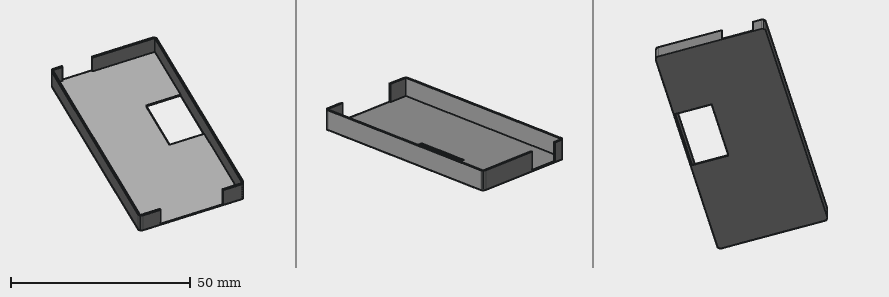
import cadquery as cq

LENGTH = 62.0
WIDTH = 32.0
HEIGHT = 6.0

WALL = 0.5
FLOOR = 0.5
CORNER_RADIUS = 1.0

WINDOW_LEFT = -12.5
WINDOW_RIGHT = 4.0
WINDOW_FRONT = 5.0

LEFT_OPENING_FRONT = -12.5
LEFT_OPENING_BACK = -3.5
RIGHT_OPENING_HALF_WIDTH = 9.5

INNER_X = LENGTH / 2 - WALL
INNER_Y = WIDTH / 2 - WALL


def block(x_range, y_range, z_range):
    """Box spanning the given (low, high) ranges."""
    lows, highs = zip(x_range, y_range, z_range)
    sizes = [high - low for low, high in zip(lows, highs)]
    return cq.Workplane("XY").box(*sizes, centered=False).translate(lows)


def tray():
    """Open-topped shell with rounded outer and square inner corners."""
    body = block((-LENGTH / 2, LENGTH / 2), (-WIDTH / 2, WIDTH / 2), (0, HEIGHT))
    body = body.edges("|Z").fillet(CORNER_RADIUS)
    cavity = block((-INNER_X, INNER_X), (-INNER_Y, INNER_Y), (FLOOR, HEIGHT))
    return body.cut(cavity)


def floor_window():
    return block((WINDOW_LEFT, WINDOW_RIGHT), (WINDOW_FRONT, INNER_Y), (0, FLOOR))


def end_opening(side, front, back):
    """Cutter through one end wall; side is -1 for the left end, 1 for the right."""
    x_range = sorted((side * INNER_X, side * LENGTH / 2))
    return block(x_range, (front, back), (FLOOR, HEIGHT))


result = (
    tray()
    .cut(floor_window())
    .cut(end_opening(-1, LEFT_OPENING_FRONT, LEFT_OPENING_BACK))
    .cut(end_opening(1, -RIGHT_OPENING_HALF_WIDTH, RIGHT_OPENING_HALF_WIDTH))
)